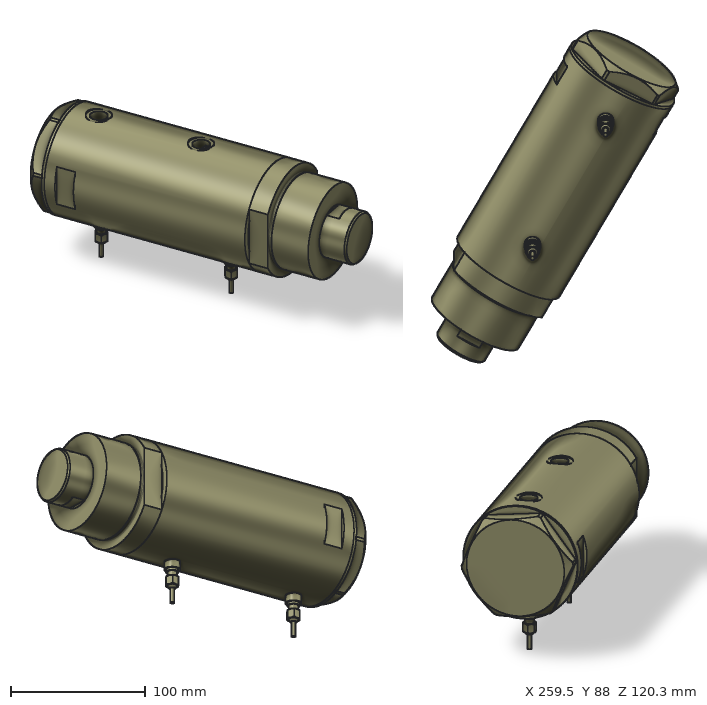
import cadquery as cq
import math


HEXAGON_END = 13.0
CAP_FLANGE_END = 15.3
BARREL_END = 186.3
HEAD_COLLAR_END = 202.5
RELIEF_END = 205.2
SPIGOT_END = 236.6
ROD_FLAT_END = 247.3
ROD_END = 259.5
REAR_PORT_X = 37.0
FRONT_PORT_X = 124.3
CAP_PLUG_END = 40.7
PISTON_END = 72.7
HEAD_PLUG_START = FRONT_PORT_X

BODY_DIAMETER = 88.0
BODY_RADIUS = BODY_DIAMETER / 2
BORE_RADIUS = 32.5
HEAD_PLUG_RADIUS = 39.0
PORT_RADIUS = 6.7
PORT_FACE_RADIUS = 9.9
PORT_FACE_DEPTH = 1.0
WRENCH_SLOT_START = 24.5
WRENCH_SLOT_END = 40.2
WRENCH_SLOT_ACROSS = 82.0

CAP_ACROSS_FLATS = 76.0
CAP_ACROSS_CORNERS = 86.5
CAP_FACE_RADIUS = 37.5
CAP_CHAMFER_LENGTH = 5.2
CAP_TURN = 7.0

HEAD_ACROSS_FLATS = 75.0
SPIGOT_RADIUS = 37.4
RELIEF_RADIUS = 36.5
RELIEF_FILLET = 0.65

ROD_RADIUS = 20.5
ROD_ACROSS_FLATS = 36.3
ROD_CHAMFER_LENGTH = 1.5
ROD_CHAMFER_DEPTH = 1.0

SENSOR_PLACES = (39.2, 150.0)
SENSOR_SEAT_Z = -43.3
SENSOR_BASE_RADIUS = 6.0
SENSOR_BASE_END = -49.5
SENSOR_SHOULDER_RADIUS = 4.7
SENSOR_SHOULDER_END = -51.6
SENSOR_NECK_RADIUS = 3.6
SENSOR_NUT_TOP = -55.5
SENSOR_NUT_BOTTOM = -62.8
SENSOR_NUT_ACROSS_CORNERS = 10.6
SENSOR_NUT_CHAMFER = 0.8
SENSOR_CONE_END = -64.5
SENSOR_CONE_TIP_RADIUS = 2.3
CABLE_RADIUS = 1.5
CABLE_END = -76.3


def rod_along_x(start, end, radius):
    """Solid cylinder on the X axis from start to end."""
    return cq.Workplane("YZ", origin=(start, 0, 0)).circle(radius).extrude(end - start)


def rod_down_z(top, bottom, radius):
    """Solid cylinder on the Z axis from top down to bottom."""
    return cq.Workplane("XY", origin=(0, 0, bottom)).circle(radius).extrude(top - bottom)


def outside_slab_pair(start, end, across_flats, direction):
    """Two blocks that leave only the across_flats thickness when cut from a round body."""
    length = end - start
    reach = BODY_RADIUS
    centre = cq.Vector(*direction) * ((across_flats + reach) / 2)
    size_y = reach if direction[1] else 2 * reach
    size_z = reach if direction[2] else 2 * reach
    block = cq.Workplane("XY").box(length, size_y, size_z).translate(((start + end) / 2, 0, 0))
    return block.translate(centre).add(block.translate(centre * -1)).combine()


def make_cap():
    """Hexagon cap with a round flange and a plug that closes the rear of the bore."""
    hexagon = (
        cq.Workplane("YZ")
        .polygon(6, CAP_ACROSS_FLATS / math.cos(math.pi / 6))
        .extrude(HEXAGON_END)
        .rotate((0, 0, 0), (1, 0, 0), -CAP_TURN)
    )
    turned_blank = (
        cq.Workplane("XY")
        .moveTo(0, 0)
        .lineTo(0, CAP_FACE_RADIUS)
        .lineTo(CAP_CHAMFER_LENGTH, CAP_ACROSS_CORNERS / 2)
        .lineTo(HEXAGON_END, CAP_ACROSS_CORNERS / 2)
        .lineTo(HEXAGON_END, 0)
        .close()
        .revolve(360, (0, 0, 0), (1, 0, 0))
    )
    flange = rod_along_x(HEXAGON_END, CAP_FLANGE_END, BODY_RADIUS)
    plug = rod_along_x(CAP_FLANGE_END, CAP_PLUG_END, BORE_RADIUS)
    return hexagon.intersect(turned_blank).union(flange).union(plug)


def make_barrel():
    """Tube with two oil ports on top, wrench slots at the sides and sensor seats below."""
    barrel = rod_along_x(CAP_FLANGE_END, BARREL_END, BODY_RADIUS)
    barrel = barrel.cut(rod_along_x(CAP_FLANGE_END, HEAD_PLUG_START, BORE_RADIUS))
    barrel = barrel.cut(rod_along_x(HEAD_PLUG_START, BARREL_END, HEAD_PLUG_RADIUS))
    for port_x in (REAR_PORT_X, FRONT_PORT_X):
        port = rod_down_z(BODY_RADIUS, 0, PORT_RADIUS)
        port_face = rod_down_z(BODY_RADIUS, BODY_RADIUS - PORT_FACE_DEPTH, PORT_FACE_RADIUS)
        barrel = barrel.cut(port.union(port_face).translate((port_x, 0, 0)))
    barrel = barrel.cut(
        outside_slab_pair(WRENCH_SLOT_START, WRENCH_SLOT_END, WRENCH_SLOT_ACROSS, (0, 1, 0))
    )
    for sensor_x in SENSOR_PLACES:
        seat = rod_down_z(SENSOR_SEAT_Z, -BODY_RADIUS, SENSOR_BASE_RADIUS)
        barrel = barrel.cut(seat.translate((sensor_x, 0, 0)))
    return barrel


def make_head():
    """Front head: a plug in the widened bore, a collar with wrench flats, a relief groove and a spigot."""
    plug = rod_along_x(HEAD_PLUG_START, BARREL_END, HEAD_PLUG_RADIUS)
    collar = rod_along_x(BARREL_END, HEAD_COLLAR_END, BODY_RADIUS)
    collar = collar.cut(
        outside_slab_pair(BARREL_END, HEAD_COLLAR_END, HEAD_ACROSS_FLATS, (0, 1, 0))
    )
    relief = (
        cq.Workplane("XY")
        .moveTo(HEAD_COLLAR_END, 0)
        .lineTo(HEAD_COLLAR_END, RELIEF_RADIUS + RELIEF_FILLET)
        .radiusArc((HEAD_COLLAR_END + RELIEF_FILLET, RELIEF_RADIUS), -RELIEF_FILLET)
        .lineTo(RELIEF_END - RELIEF_FILLET, RELIEF_RADIUS)
        .radiusArc((RELIEF_END, RELIEF_RADIUS + RELIEF_FILLET), -RELIEF_FILLET)
        .lineTo(RELIEF_END, 0)
        .close()
        .revolve(360, (0, 0, 0), (1, 0, 0))
    )
    spigot = rod_along_x(RELIEF_END, SPIGOT_END, SPIGOT_RADIUS)
    rod_hole = rod_along_x(HEAD_PLUG_START, SPIGOT_END, ROD_RADIUS)
    return plug.union(collar).union(relief).union(spigot).cut(rod_hole)


def make_piston_rod():
    """Piston resting on the cap plug and a rod through the head, with wrench flats near its end."""
    piston = rod_along_x(CAP_PLUG_END, PISTON_END, BORE_RADIUS)
    rod = rod_along_x(PISTON_END, ROD_END, ROD_RADIUS)
    rod = rod.faces(">X").chamfer(ROD_CHAMFER_LENGTH, ROD_CHAMFER_DEPTH)
    rod = rod.cut(outside_slab_pair(SPIGOT_END, ROD_FLAT_END, ROD_ACROSS_FLATS, (0, 0, 1)))
    return piston.union(rod)


def make_sensor(sensor_x):
    """Proximity sensor: stepped round base, hexagon nut with chamfered ends, cone and cable."""
    base = rod_down_z(SENSOR_SEAT_Z, SENSOR_BASE_END, SENSOR_BASE_RADIUS)
    shoulder = rod_down_z(SENSOR_BASE_END, SENSOR_SHOULDER_END, SENSOR_SHOULDER_RADIUS)
    neck = rod_down_z(SENSOR_SHOULDER_END, SENSOR_NUT_TOP, SENSOR_NECK_RADIUS)
    nut_height = SENSOR_NUT_TOP - SENSOR_NUT_BOTTOM
    nut = (
        cq.Workplane("XY", origin=(0, 0, SENSOR_NUT_BOTTOM))
        .polygon(6, SENSOR_NUT_ACROSS_CORNERS)
        .extrude(nut_height)
    )
    nut_blank = (
        cq.Workplane("XY", origin=(0, 0, SENSOR_NUT_BOTTOM))
        .circle(SENSOR_NUT_ACROSS_CORNERS / 2)
        .extrude(nut_height)
        .edges()
        .chamfer(SENSOR_NUT_CHAMFER)
    )
    cone = (
        cq.Workplane("XY", origin=(0, 0, SENSOR_NUT_BOTTOM))
        .circle(SENSOR_SHOULDER_RADIUS - SENSOR_NUT_CHAMFER)
        .workplane(offset=SENSOR_CONE_END - SENSOR_NUT_BOTTOM)
        .circle(SENSOR_CONE_TIP_RADIUS)
        .loft()
    )
    cable = rod_down_z(SENSOR_CONE_END, CABLE_END, CABLE_RADIUS)
    sensor = base.union(shoulder).union(neck).union(nut.intersect(nut_blank)).union(cone).union(cable)
    return sensor.translate((sensor_x, 0, 0))


cap = make_cap()
barrel = make_barrel()
head = make_head()
piston_rod = make_piston_rod()
sensors = [make_sensor(sensor_x) for sensor_x in SENSOR_PLACES]

result = cq.Compound.makeCompound(
    [cap.val(), barrel.val(), head.val(), piston_rod.val(), *[sensor.val() for sensor in sensors]]
)